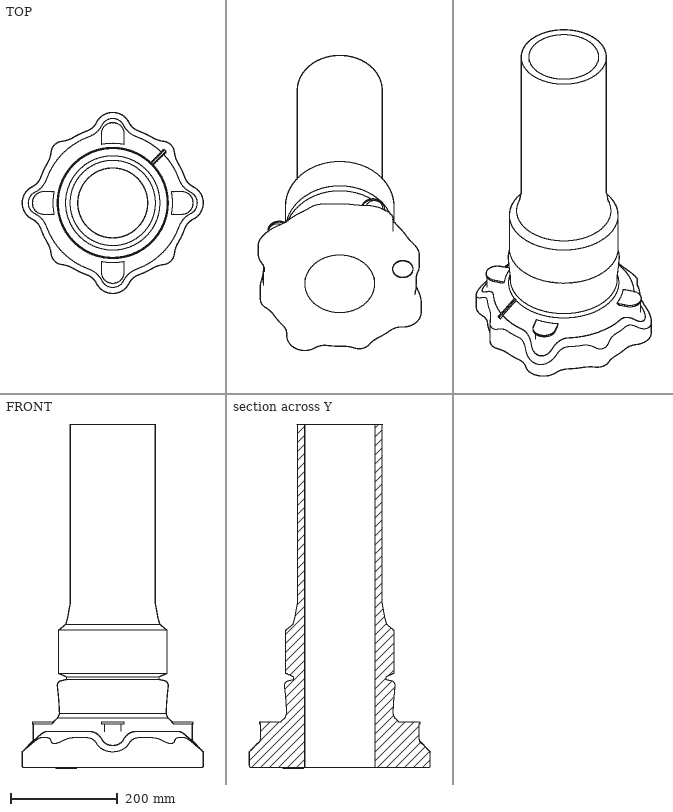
import cadquery as cq
import math

BORE_RADIUS = 130.8 / 2
PIPE_RADIUS = 160.0 / 2
FOOT_HEIGHT = 2.0
TOP_Z = 645.7 - FOOT_HEIGHT

PIPE_ROOT_Z = 308.0
TAPER_MID_RADIUS = 85.0
TAPER_MID_Z = 280.5
TAPER_END_RADIUS = 88.5
TAPER_END_Z = 268.5
SOCKET_RADIUS = 204.19 / 2
SOCKET_TOP_Z = 257.5
SOCKET_BOTTOM_Z = 176.5

NECK_RADIUS = 87.0
NECK_TOP_Z = 170.0

RIM_INNER_RADIUS = 96.0
RIM_TOP_Z = 165.3
RIM_SHOULDER_Z = 163.3
RIM_ROUND_RADIUS = 102.4
RIM_ROUND_Z = 159.5
RIM_RADIUS = 104.3
RIM_EDGE_Z = 153.0
WAIST_RADIUS = 101.7
WAIST_Z = 127.0
COLLAR_FOOT_RADIUS = 100.3
COLLAR_FOOT_Z = 101.0
CROWN_TOP_RADIUS = 103.5
CROWN_TOP_Z = 93.0

VALLEY_RADIUS = 143.5
NUT_RADIUS = 339.87 / 2
BIG_LOBE_RADIUS = 34.0
BIG_LOBE_CENTER = NUT_RADIUS - BIG_LOBE_RADIUS
BIG_LOBE_BLEND = 32.0
SMALL_LOBE_RADIUS = 23.3
SMALL_LOBE_CENTER = 131.0
SMALL_LOBE_BLEND = 53.0
LOBE_COUNT = 4
LOBE_PITCH = 360 / LOBE_COUNT
BOTTOM_FILLET = 3.0

CROWN_SUM = 200.1
CROWN_STEP = 0.6
CROWN_INSET = 11.5
CROWN_KINK_RADIUS = VALLEY_RADIUS - CROWN_INSET
CROWN_KINK_Z = CROWN_SUM - CROWN_KINK_RADIUS
CROWN_SLOPE = (CROWN_TOP_Z - CROWN_KINK_Z) / (CROWN_KINK_RADIUS - CROWN_TOP_RADIUS)
CROWN_APEX_Z = CROWN_TOP_Z + CROWN_TOP_RADIUS * CROWN_SLOPE

LUG_TOP_Z = 85.6
LUG_CAP_THICKNESS = 3.5
LUG_CAP_RADIUS = 21.3
LUG_CAP_INNER_X = 110.0
LUG_CAP_CENTER = 129.5
LUG_STEM_RADIUS = 15.3
LUG_STEM_CENTER = 134.2
LUG_FILLET = 4.3

RIB_ANGLE = 45
RIB_START = 103.0
RIB_END = 138.0
RIB_BASE_WIDTH = 8.0
RIB_TOP_WIDTH = 3.5
RIB_HEIGHT = 2.0
RIB_DEPTH = 1.0

FOOT_RADIUS = 19.0
FOOT_OFFSET = 87.0


def polar(radius, angle):
    """Point at a radius and an angle in degrees."""
    return (radius * math.cos(math.radians(angle)), radius * math.sin(math.radians(angle)))


def toward(start, end, distance):
    """Point at a distance from start in the direction of end."""
    ratio = distance / math.dist(start, end)
    return tuple(a + (b - a) * ratio for a, b in zip(start, end))


def lobe_points(disc, angle, center, radius, blend):
    """Tangent and middle points of one lobe and the two blends joining it to the disc."""
    disc_to_blend = disc + blend
    lobe_to_blend = radius + blend
    cosine = (disc_to_blend**2 + center**2 - lobe_to_blend**2) / (2 * disc_to_blend * center)
    half_angle = math.degrees(math.acos(cosine))
    lobe_center = polar(center, angle)

    def flank(side):
        flank_angle = angle + side * half_angle
        blend_center = polar(disc_to_blend, flank_angle)
        on_disc = polar(disc, flank_angle)
        on_lobe = toward(lobe_center, blend_center, radius)
        chord_middle = tuple((a + b) / 2 for a, b in zip(on_disc, on_lobe))
        return on_disc, toward(blend_center, chord_middle, blend), on_lobe

    return [*flank(-1), polar(center + radius, angle), *reversed(flank(1))], half_angle


def lobed_outline(disc, lobes):
    """Closed outline of a disc with lobes, each given as (angle, center, radius, blend)."""
    first_points, first_half_angle = lobe_points(disc, *lobes[0])
    first_start = lobes[0][0] - first_half_angle
    outline = cq.Workplane("XY").moveTo(*first_points[0])
    end_angle = first_start
    for index, lobe in enumerate(lobes):
        points, half_angle = lobe_points(disc, *lobe)
        start_angle = lobe[0] - half_angle
        if index > 0:
            outline = outline.threePointArc(polar(disc, (end_angle + start_angle) / 2), points[0])
        for middle, end in zip(points[1::2], points[2::2]):
            outline = outline.threePointArc(middle, end)
        end_angle = lobe[0] + half_angle
    last_middle = polar(disc, (end_angle + first_start + 360) / 2)
    return outline.threePointArc(last_middle, first_points[0]).close()


def crown_cone():
    """Solid cone with the slopes of the crown, running up to its apex inside the column."""
    profile = (
        cq.Workplane("XZ")
        .lineTo(CROWN_SUM, 0)
        .lineTo(CROWN_KINK_RADIUS, CROWN_KINK_Z)
        .lineTo(0, CROWN_APEX_Z)
        .close()
    )
    return profile.revolve(360, (0, 0, 0), (0, 1, 0))


def make_column():
    """Pipe, socket, neck and collar as one solid of revolution."""
    return (
        cq.Workplane("XZ")
        .lineTo(0, TOP_Z)
        .lineTo(PIPE_RADIUS, TOP_Z)
        .lineTo(PIPE_RADIUS, PIPE_ROOT_Z)
        .lineTo(TAPER_MID_RADIUS, TAPER_MID_Z)
        .lineTo(TAPER_END_RADIUS, TAPER_END_Z)
        .lineTo(SOCKET_RADIUS, SOCKET_TOP_Z)
        .lineTo(SOCKET_RADIUS, SOCKET_BOTTOM_Z)
        .lineTo(NECK_RADIUS, NECK_TOP_Z)
        .lineTo(NECK_RADIUS, RIM_TOP_Z)
        .lineTo(RIM_INNER_RADIUS, RIM_SHOULDER_Z)
        .threePointArc((RIM_ROUND_RADIUS, RIM_ROUND_Z), (RIM_RADIUS, RIM_EDGE_Z))
        .threePointArc((WAIST_RADIUS, WAIST_Z), (COLLAR_FOOT_RADIUS, COLLAR_FOOT_Z))
        .lineTo(CROWN_TOP_RADIUS, CROWN_TOP_Z)
        .lineTo(CROWN_TOP_RADIUS, 0)
        .lineTo(0, 0)
        .close()
        .revolve(360, (0, 0, 0), (0, 1, 0))
    )


def make_nut():
    """Lobed grip with a conical shoulder and a slightly raised crown."""
    lobes = []
    crown_lobes = []
    for index in range(LOBE_COUNT):
        angle = index * LOBE_PITCH
        lobes.append((angle, BIG_LOBE_CENTER, BIG_LOBE_RADIUS, BIG_LOBE_BLEND))
        lobes.append((angle + LOBE_PITCH / 2, SMALL_LOBE_CENTER, SMALL_LOBE_RADIUS, SMALL_LOBE_BLEND))
        crown_lobes.append(
            (angle, BIG_LOBE_CENTER, BIG_LOBE_RADIUS - CROWN_INSET, BIG_LOBE_BLEND + CROWN_INSET)
        )
    grip = lobed_outline(VALLEY_RADIUS, lobes).extrude(CROWN_TOP_Z)
    grip = grip.faces("<Z").edges().fillet(BOTTOM_FILLET)
    grip = grip.intersect(crown_cone().translate((0, 0, -CROWN_STEP)))
    crown = lobed_outline(CROWN_KINK_RADIUS, crown_lobes).extrude(CROWN_TOP_Z)
    peak = crown_cone().union(make_lug_stems(0)).union(make_lug_stems(LOBE_PITCH))
    return grip.union(crown.intersect(peak))


def make_lug_cap(angle):
    """Flat plate with a round nose on top of a lug stem."""
    cap = (
        cq.Workplane("XY", origin=(0, 0, LUG_TOP_Z - LUG_CAP_THICKNESS))
        .moveTo(LUG_CAP_INNER_X, -LUG_CAP_RADIUS)
        .lineTo(LUG_CAP_CENTER, -LUG_CAP_RADIUS)
        .threePointArc((LUG_CAP_CENTER + LUG_CAP_RADIUS, 0), (LUG_CAP_CENTER, LUG_CAP_RADIUS))
        .lineTo(LUG_CAP_INNER_X, LUG_CAP_RADIUS)
        .close()
        .extrude(LUG_CAP_THICKNESS)
    )
    return cap.rotate((0, 0, 0), (0, 0, 1), angle)


def make_lug_stems(angle):
    """Two opposite stems with a fillet at the shoulder, cut off at the underside of the caps.

    The stems start as one long slot-shaped bar through the cone, so that the fillet runs
    around a closed edge.
    """
    slot_length = 2 * (LUG_STEM_CENTER + LUG_STEM_RADIUS)
    bar = cq.Workplane("XY").slot2D(slot_length, 2 * LUG_STEM_RADIUS).extrude(CROWN_SUM)
    near_bar = cq.selectors.BoxSelector(
        (-NUT_RADIUS, -LUG_CAP_RADIUS, BOTTOM_FILLET), (NUT_RADIUS, LUG_CAP_RADIUS, CROWN_APEX_Z)
    )
    upright = cq.selectors.ParallelDirSelector(cq.Vector(0, 0, 1))
    stems = crown_cone().union(bar).edges(near_bar - upright).fillet(LUG_FILLET)
    below_caps = cq.Workplane("XY").circle(NUT_RADIUS).extrude(LUG_TOP_Z - LUG_CAP_THICKNESS)
    return stems.intersect(below_caps).rotate((0, 0, 0), (0, 0, 1), angle)


def make_rib():
    """Trapezoidal rib lying along the slope of the shoulder."""
    slope_length = (RIB_END - RIB_START) * math.hypot(1, CROWN_SLOPE)
    start_z = CROWN_APEX_Z - RIB_START * CROWN_SLOPE
    slope = cq.Plane(origin=(RIB_START, 0, start_z), xDir=(0, 1, 0), normal=(1, 0, -CROWN_SLOPE))
    rib = (
        cq.Workplane(slope)
        .moveTo(-RIB_BASE_WIDTH / 2, -RIB_DEPTH)
        .lineTo(RIB_BASE_WIDTH / 2, -RIB_DEPTH)
        .lineTo(RIB_TOP_WIDTH / 2, RIB_HEIGHT)
        .lineTo(-RIB_TOP_WIDTH / 2, RIB_HEIGHT)
        .close()
        .extrude(slope_length)
    )
    return rib.rotate((0, 0, 0), (0, 0, 1), RIB_ANGLE)


def make_foot():
    """Low round pad under the nut."""
    return cq.Workplane("XY").center(-FOOT_OFFSET, FOOT_OFFSET).circle(FOOT_RADIUS).extrude(-FOOT_HEIGHT)


body = make_nut().union(make_column())
for lug_index in range(LOBE_COUNT):
    body = body.union(make_lug_cap(lug_index * LOBE_PITCH))
body = body.union(make_rib()).union(make_foot())
result = body.cut(cq.Workplane("XY").circle(BORE_RADIUS).extrude(TOP_Z))